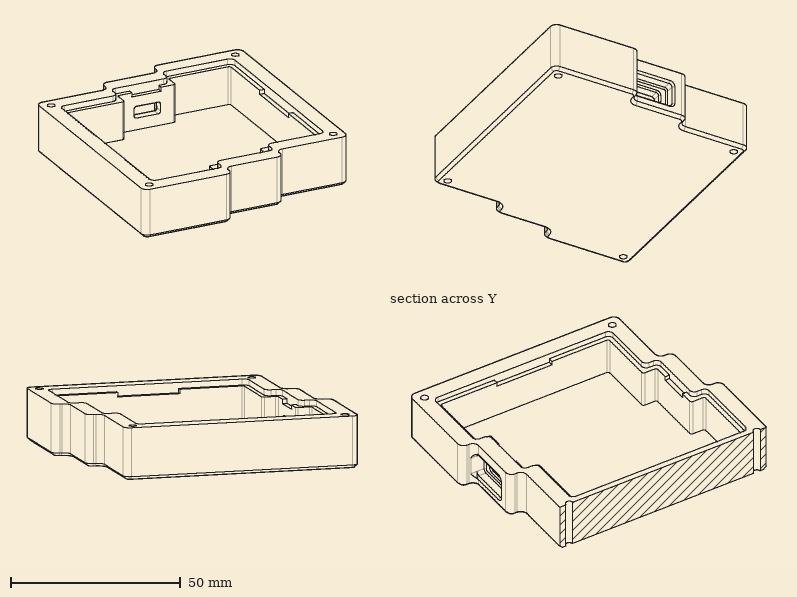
import cadquery as cq
length = 81.3
height = 15.6
body_end_margin = 7.3
pitch = (length - 2 * body_end_margin) / 3.5
stagger = pitch / 4
half_rows = 1.5 * pitch

body_step_margin = 2.7
body_corner_radius = 2.0
bottom_chamfer = 1.0

ledge_margin = 2.1
ledge_depth = 1.8
ledge_corner_radius = 1.6
cavity_margin = 0.61
cavity_corner_radius = 0.65
floor_thickness = 1.7

notch_depth = 1.3
long_notch_length = pitch
short_notch_length = pitch / 2

screw_diameter = 2.3
screw_inset = 3.3

port_z = 7.3
socket_y = -0.25
socket_width = 14.0
socket_height = 7.8
socket_corner_radius = 1.0
socket_depth = 3.6
socket_rim_chamfer = 0.65
socket_floor_chamfer = 0.5
opening_y = -0.3
opening_width = 8.7
opening_height = 3.7
opening_corner_radius = 0.8
opening_rim_chamfer = 0.5

socket_face_x = -(half_rows + body_end_margin)
socket_floor_x = socket_face_x + socket_depth


def staggered_prism(end_margin, step_margin, corner_radius, bottom, top):
    """Prism over the three shifted rows, grown by a margin at the ends and at the steps."""
    half = half_rows + end_margin
    upper_step = pitch / 2 + step_margin
    lower_step = pitch / 2 - step_margin
    right_side = [
        (half - stagger, half),
        (half - stagger, upper_step),
        (half, upper_step),
        (half, -lower_step),
        (half + stagger, -lower_step),
        (half + stagger, -half),
    ]
    left_side = [(-x, -y) for x, y in right_side]
    prism = cq.Workplane("XY", origin=(0, 0, bottom)).polyline(right_side + left_side).close()
    return prism.extrude(top - bottom).edges("|Z").fillet(corner_radius)


def rounded_block(center_y, width, block_height, corner_radius, start_x, end_x):
    """Rounded rectangle at the height of the port, running along X."""
    block = cq.Workplane("YZ", origin=(start_x, center_y, port_z)).rect(width, block_height)
    return block.extrude(end_x - start_x).edges("|X").fillet(corner_radius)


def rim_flare(center_y, width, block_height, corner_radius, face_x, size):
    """Cutter for a 45 degree chamfer around a rounded opening in the face at face_x."""
    outline = cq.Sketch().rect(width + 2 * size, block_height + 2 * size)
    outline = outline.vertices().fillet(corner_radius + size)
    plane = cq.Workplane("YZ", origin=(face_x, center_y, port_z))
    return plane.placeSketch(outline).extrude(size, taper=45)


def make_body():
    body = staggered_prism(body_end_margin, body_step_margin, body_corner_radius, 0, height)
    return body.faces("<Z").chamfer(bottom_chamfer)


def make_cavity():
    ledge_z = height - ledge_depth
    mouth = staggered_prism(ledge_margin, ledge_margin, ledge_corner_radius, ledge_z, height)
    cavity = staggered_prism(
        cavity_margin, cavity_margin, cavity_corner_radius, floor_thickness, height
    )
    return mouth.union(cavity)


def make_notches():
    across = 2 * ledge_margin
    cut_depth = ledge_depth + notch_depth
    notches = cq.Workplane("XY")
    for side in (1, -1):
        long_notch = cq.Workplane("XY").box(long_notch_length, across, cut_depth)
        short_notch = cq.Workplane("XY").box(across, short_notch_length, cut_depth)
        center_z = height - cut_depth / 2
        notches = notches.add(long_notch.translate((-side * stagger, side * half_rows, center_z)))
        notches = notches.add(short_notch.translate((side * half_rows, side * cavity_margin, center_z)))
    return notches.combine()


def make_screw_holes():
    reach = half_rows + body_end_margin - screw_inset
    centers = [
        (x_side * reach - y_side * stagger, y_side * reach)
        for x_side in (1, -1)
        for y_side in (1, -1)
    ]
    return cq.Workplane("XY").pushPoints(centers).circle(screw_diameter / 2).extrude(height)


def make_port():
    socket_section = (socket_y, socket_width, socket_height, socket_corner_radius)
    socket_start_x = socket_face_x - stagger / 2
    socket = rounded_block(*socket_section, socket_start_x, socket_floor_x)
    socket = socket.faces(">X").chamfer(socket_floor_chamfer)

    rim_section = (
        socket_y - socket_rim_chamfer / 2,
        socket_width + socket_rim_chamfer,
        socket_height + 2 * socket_rim_chamfer,
        socket_corner_radius + socket_rim_chamfer,
    )
    rim_front = rounded_block(*rim_section, socket_start_x, socket_face_x)
    rim_limit = rounded_block(*rim_section, socket_face_x, socket_floor_x)
    chamfer = rim_flare(*socket_section, socket_face_x, socket_rim_chamfer).intersect(rim_limit)
    socket_rim = rim_front.union(chamfer)

    opening_section = (opening_y, opening_width, opening_height, opening_corner_radius)
    opening = rounded_block(*opening_section, socket_floor_x, -half_rows)
    opening_rim = rim_flare(*opening_section, socket_floor_x, opening_rim_chamfer)
    return socket.union(socket_rim).union(opening).union(opening_rim)


result = (
    make_body()
    .cut(make_cavity())
    .cut(make_notches())
    .cut(make_screw_holes())
    .cut(make_port())
)